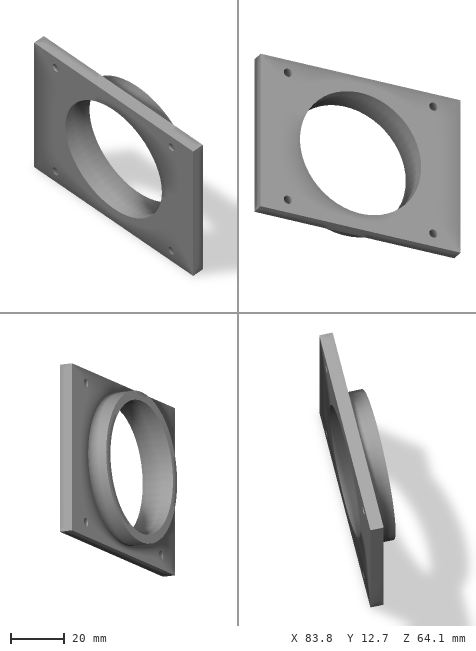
import cadquery as cq

plate_width = 83.8
plate_height = 64.1
plate_thickness = 5.1

total_depth = 12.7
collar_diameter = 57.7
bore_diameter = 50.8

hole_diameter = 3.35
hole_spacing_x = 61.0
hole_spacing_z = 53.4


def front_plane():
    """Plane of the front face; its normal points towards the back (+Y)."""
    return cq.Workplane(cq.Plane(origin=(0, 0, 0), xDir=(1, 0, 0), normal=(0, 1, 0)))


plate = front_plane().rect(plate_width, plate_height).extrude(plate_thickness)
collar = front_plane().circle(collar_diameter / 2).extrude(total_depth)
bore = front_plane().circle(bore_diameter / 2).extrude(total_depth)
screw_holes = (
    front_plane()
    .rect(hole_spacing_x, hole_spacing_z, forConstruction=True)
    .vertices()
    .circle(hole_diameter / 2)
    .extrude(plate_thickness)
)

result = plate.union(collar).cut(bore).cut(screw_holes)